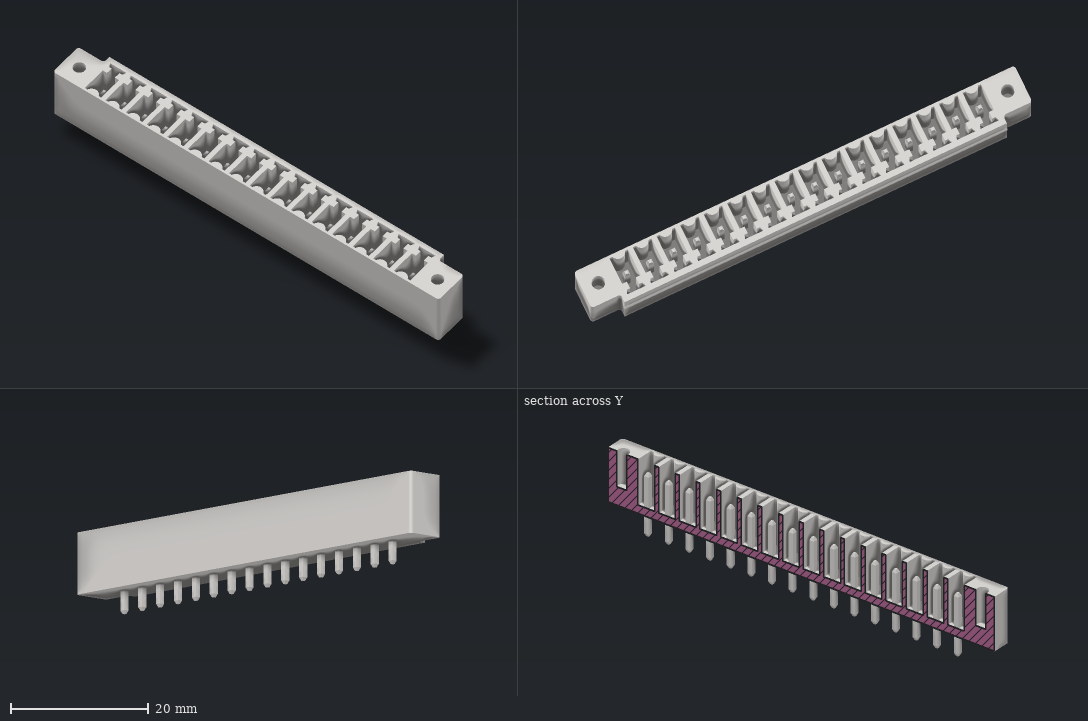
import cadquery as cq


PIN_COUNT = 16
PITCH = 3.81
PIN_WIDTH = 0.84
PIN_TIP_WIDTH = 0.4
PIN_TIP_LENGTH = 0.5
PIN_TAIL = 3.4
PIN_RECESS = 2.0

LENGTH = 71.35
HEIGHT = 9.2
OVERALL_DEPTH = 7.55
RIB_PROJECTION = 0.25
BODY_DEPTH = OVERALL_DEPTH - RIB_PROJECTION
EAR_DEPTH = 6.0
EAR_LENGTH = 4.75
CORNER_RADIUS = 0.5
FRONT_TO_PINS = 3.0
FRONT_Y = -FRONT_TO_PINS
BACK_Y = FRONT_Y + BODY_DEPTH
EAR_BACK_Y = FRONT_Y + EAR_DEPTH
HALF_LENGTH = LENGTH / 2
HALF_CENTRE = HALF_LENGTH - EAR_LENGTH

RIB_DEPTH = 3.3
RIB_BASE = 0.9
RIB_CREST = 0.5

HOLE_DIAMETER = 2.0
HOLE_DEPTH = 6.0
HOLE_TO_END = 2.55
HOLE_X = HALF_LENGTH - HOLE_TO_END

FLOOR_THICKNESS = 1.5
POCKET_WIDTH = 3.0
FRONT_WALL = 0.4
BACK_WALL = 0.9
NECK_WIDTH = 1.45
NECK_LENGTH = 1.1
FRONT_TO_NECK = 4.65
NECK_FRONT_Y = FRONT_Y + FRONT_TO_NECK
NECK_BACK_Y = NECK_FRONT_Y + NECK_LENGTH
FLARE_WIDTH = 2.5
KEY_WIDTH = 2.0
KEY_PROJECTION = 0.72


def make_body():
    """Block with a set-back ear at each end and rounded vertical ear edges."""
    ears = cq.Workplane("XY").rect(LENGTH, EAR_DEPTH).extrude(HEIGHT)
    ears = ears.translate((0, FRONT_Y + EAR_DEPTH / 2, 0)).edges("|Z").fillet(CORNER_RADIUS)
    centre = cq.Workplane("XY").rect(2 * HALF_CENTRE, BODY_DEPTH).extrude(HEIGHT)
    body = ears.union(centre.translate((0, FRONT_Y + BODY_DEPTH / 2, 0)))
    for x in (-HALF_CENTRE, HALF_CENTRE):
        corner = (x, EAR_BACK_Y, HEIGHT / 2)
        body = body.edges(cq.selectors.NearestToPointSelector(corner)).fillet(CORNER_RADIUS)
    return body


def make_rib():
    """Latching rib of trapezoid section along the full centre length of the back face."""
    crest_y = BACK_Y + RIB_PROJECTION
    middle_z = HEIGHT - RIB_DEPTH
    profile = [
        (BACK_Y, middle_z + RIB_BASE / 2),
        (crest_y, middle_z + RIB_CREST / 2),
        (crest_y, middle_z - RIB_CREST / 2),
        (BACK_Y, middle_z - RIB_BASE / 2),
    ]
    return cq.Workplane("YZ").polyline(profile).close().extrude(HALF_CENTRE, both=True)


def make_pocket():
    """Pocket with a necked, flared back recess and a round key left on its front wall."""
    half = POCKET_WIDTH / 2
    half_neck = NECK_WIDTH / 2
    half_flare = FLARE_WIDTH / 2
    half_key = KEY_WIDTH / 2
    front = FRONT_Y + FRONT_WALL
    back = BACK_Y - BACK_WALL
    return (
        cq.Workplane("XY", origin=(0, 0, FLOOR_THICKNESS))
        .moveTo(-half, front)
        .lineTo(-half_key, front)
        .threePointArc((0, front + KEY_PROJECTION), (half_key, front))
        .lineTo(half, front)
        .lineTo(half, NECK_FRONT_Y)
        .lineTo(half_neck, NECK_FRONT_Y)
        .lineTo(half_neck, NECK_BACK_Y)
        .lineTo(half_flare, NECK_BACK_Y)
        .lineTo(half, back)
        .lineTo(-half, back)
        .lineTo(-half_flare, NECK_BACK_Y)
        .lineTo(-half_neck, NECK_BACK_Y)
        .lineTo(-half_neck, NECK_FRONT_Y)
        .lineTo(-half, NECK_FRONT_Y)
        .close()
        .extrude(HEIGHT - FLOOR_THICKNESS)
    )


def make_pin():
    """Square pin through the floor, tapered at both ends."""
    bottom = -PIN_TAIL
    top = HEIGHT - PIN_RECESS
    shank_bottom = bottom + PIN_TIP_LENGTH
    shank_top = top - PIN_TIP_LENGTH

    def tapered_end(z_tip, z_shank):
        """Square taper from the narrow tip to the full pin width."""
        return (
            cq.Workplane("XY", origin=(0, 0, z_tip))
            .rect(PIN_TIP_WIDTH, PIN_TIP_WIDTH)
            .workplane(offset=z_shank - z_tip)
            .rect(PIN_WIDTH, PIN_WIDTH)
            .loft(ruled=True)
        )

    shank = cq.Workplane("XY", origin=(0, 0, shank_bottom)).rect(PIN_WIDTH, PIN_WIDTH)
    shank = shank.extrude(shank_top - shank_bottom)
    return shank.union(tapered_end(bottom, shank_bottom)).union(tapered_end(top, shank_top))


def repeat_along_row(shape):
    """Compound of copies of a shape, one at each pin position."""
    first_x = -PITCH * (PIN_COUNT - 1) / 2
    solid = shape.val()
    copies = [solid.translate(cq.Vector(first_x + i * PITCH, 0, 0)) for i in range(PIN_COUNT)]
    return cq.Workplane("XY").newObject([cq.Compound.makeCompound(copies)])


def make_fixing_holes():
    """Blind round holes entering the ears from the top."""
    holes = cq.Workplane("XY", origin=(0, 0, HEIGHT - HOLE_DEPTH))
    return holes.pushPoints([(-HOLE_X, 0), (HOLE_X, 0)]).circle(HOLE_DIAMETER / 2).extrude(HOLE_DEPTH)


result = (
    make_body()
    .union(make_rib())
    .cut(make_fixing_holes())
    .cut(repeat_along_row(make_pocket()))
    .union(repeat_along_row(make_pin()))
)